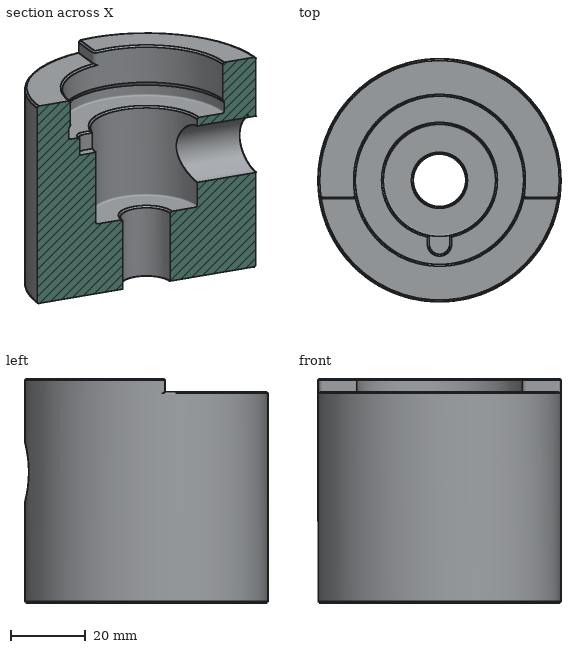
import cadquery as cq

OUTER_DIAMETER = 65.0
HEIGHT = 60.0
EDGE_CHAMFER = 0.5
FLOOR_FILLET = 0.5

STEP_DEPTH = 3.5
STEP_Y = -5.0
STEP_CORNER_RADIUS = 1.0

UPPER_BORE_DIAMETER = 45.0
UPPER_BORE_DEPTH = 14.5
GROOVE_DIAMETER = 46.0
GROOVE_HEIGHT = 4.0
GROOVE_TAPER_HEIGHT = 1.0

LOWER_BORE_DIAMETER = 30.0
LOWER_BORE_FLOOR_Z = 20.0
THROUGH_HOLE_DIAMETER = 14.0

SLOT_WIDTH = 5.5
SLOT_END_Y = -19.75
SLOT_DEPTH = 5.0

RADIAL_HOLE_DIAMETER = 16.0
RADIAL_HOLE_Z = 35.0

OUTER_RADIUS = OUTER_DIAMETER / 2
LEDGE_Z = HEIGHT - UPPER_BORE_DEPTH
LOW_RIM_Z = HEIGHT - STEP_DEPTH


def disc(diameter, bottom_z, top_z):
    """Cylinder on the Z axis between two heights."""
    return cq.Workplane("XY").workplane(offset=bottom_z).circle(diameter / 2).extrude(top_z - bottom_z)


def ring(bottom_z, top_z):
    """Sleeve section between the outer surface and the upper bore."""
    return disc(OUTER_DIAMETER, bottom_z, top_z).cut(disc(UPPER_BORE_DIAMETER, bottom_z, top_z))


def make_low_sleeve():
    """Sleeve up to the lowered rim, with its top and bottom edges chamfered."""
    sleeve = disc(OUTER_DIAMETER, 0, LEDGE_Z).union(ring(LEDGE_Z, LOW_RIM_Z))
    return sleeve.faces("<Z or >Z").edges().chamfer(EDGE_CHAMFER)


def make_raised_rim():
    """Raised part of the rim, rooted below the chamfers of the lowered rim."""
    root_z = LOW_RIM_Z - EDGE_CHAMFER
    kept_length = OUTER_RADIUS - STEP_Y
    kept_side = (
        cq.Workplane("XY")
        .workplane(offset=root_z)
        .center(0, STEP_Y + kept_length / 2)
        .rect(OUTER_DIAMETER, kept_length)
        .extrude(HEIGHT - root_z)
    )
    rim = ring(root_z, HEIGHT).intersect(kept_side)
    rim = rim.faces("<Y").edges("|Z").fillet(STEP_CORNER_RADIUS)
    return rim.faces(">Z").edges().chamfer(EDGE_CHAMFER)


def make_groove():
    """Relief groove at the foot of the upper bore: filleted floor corner, tapered upper end."""
    groove = disc(GROOVE_DIAMETER, LEDGE_Z, LEDGE_Z + GROOVE_HEIGHT)
    groove_depth = (GROOVE_DIAMETER - UPPER_BORE_DIAMETER) / 2
    groove = groove.faces(">Z").chamfer(GROOVE_TAPER_HEIGHT, groove_depth)
    return groove.faces("<Z").edges().fillet(FLOOR_FILLET)


def make_lower_bore():
    """Lower bore with a filleted floor corner."""
    bore = disc(LOWER_BORE_DIAMETER, LOWER_BORE_FLOOR_Z, LEDGE_Z)
    return bore.faces("<Z").edges().fillet(FLOOR_FILLET)


def make_mouth_chamfer(diameter, mouth_z):
    """Cone that breaks the upper edge of a hole."""
    radius = diameter / 2
    cone = cq.Solid.makeCone(
        radius,
        radius + EDGE_CHAMFER,
        EDGE_CHAMFER,
        pnt=cq.Vector(0, 0, mouth_z - EDGE_CHAMFER),
    )
    return cq.Workplane(obj=cone)


def slot_outline(bottom_z, half_width):
    """Slot outline from the axis to its rounded -Y end."""
    end_center_y = SLOT_END_Y + SLOT_WIDTH / 2
    return (
        cq.Workplane("XY")
        .workplane(offset=bottom_z)
        .moveTo(-half_width, 0)
        .lineTo(-half_width, end_center_y)
        .threePointArc((0, end_center_y - half_width), (half_width, end_center_y))
        .lineTo(half_width, 0)
        .close()
    )


def make_slot():
    """Slot with its upper edge chamfered."""
    slot = slot_outline(LEDGE_Z - SLOT_DEPTH, SLOT_WIDTH / 2).extrude(SLOT_DEPTH)
    mouth = slot_outline(LEDGE_Z, SLOT_WIDTH / 2 + EDGE_CHAMFER).extrude(-EDGE_CHAMFER, taper=45)
    return slot.union(mouth)


def make_radial_hole():
    """Hole from the axis out through the +Y wall."""
    return (
        cq.Workplane("XZ")
        .center(0, RADIAL_HOLE_Z)
        .circle(RADIAL_HOLE_DIAMETER / 2)
        .extrude(-OUTER_DIAMETER)
    )


result = (
    make_low_sleeve()
    .union(make_raised_rim())
    .cut(make_groove())
    .cut(make_lower_bore())
    .cut(make_mouth_chamfer(LOWER_BORE_DIAMETER, LEDGE_Z))
    .cut(disc(THROUGH_HOLE_DIAMETER, 0, LOWER_BORE_FLOOR_Z))
    .cut(make_mouth_chamfer(THROUGH_HOLE_DIAMETER, LOWER_BORE_FLOOR_Z))
    .cut(make_slot())
    .cut(make_radial_hole())
)